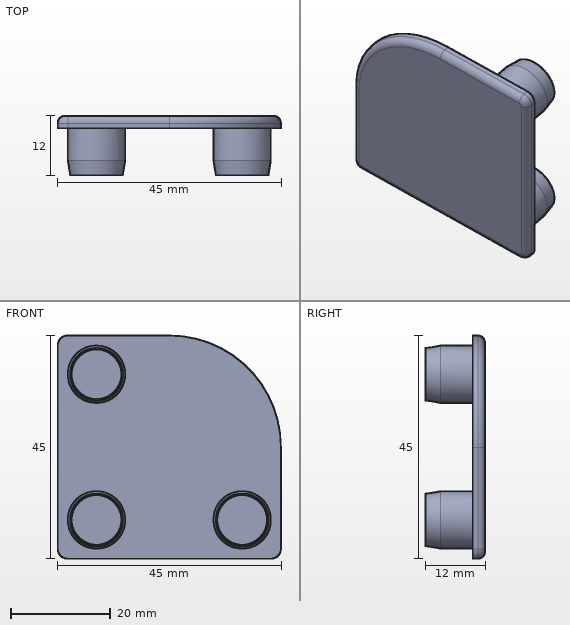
import cadquery as cq

side = 45.0
plate_thickness = 2.5
corner_radius = 2.02
large_corner_radius = side / 2
rim_radius = 1.5

total_depth = 12.0
plug_diameter = 11.6
tip_diameter = 10.6
bore_diameter = 10.0
taper_length = 3.0
plug_inset = 7.85
plug_length = total_depth - plate_thickness

near = plug_inset
far = side - plug_inset
plug_centers = [(near, near), (far, near), (near, far)]


def make_plate():
    """Square plate with one large round corner and a rounded outer rim."""
    plate = (
        cq.Workplane("XZ")
        .moveTo(0, 0)
        .lineTo(side, 0)
        .lineTo(side, side - large_corner_radius)
        .radiusArc((side - large_corner_radius, side), -large_corner_radius)
        .lineTo(0, side)
        .close()
        .extrude(-plate_thickness)
    )
    plate = plate.edges("|Y and (<X or <Z)").fillet(corner_radius)
    return plate.faces(">Y").edges().fillet(rim_radius)


def make_plug(x, z):
    """Tube with a tapered tip, open at the tip and closed by the plate."""
    half_profile = [
        (bore_diameter / 2, 0),
        (plug_diameter / 2, 0),
        (plug_diameter / 2, taper_length - plug_length),
        (tip_diameter / 2, -plug_length),
        (bore_diameter / 2, -plug_length),
    ]
    plug = cq.Workplane("XY").polyline(half_profile).close().revolve(360, (0, 0), (0, 1))
    return plug.translate((x, 0, z))


result = make_plate()
for x, z in plug_centers:
    result = result.union(make_plug(x, z))